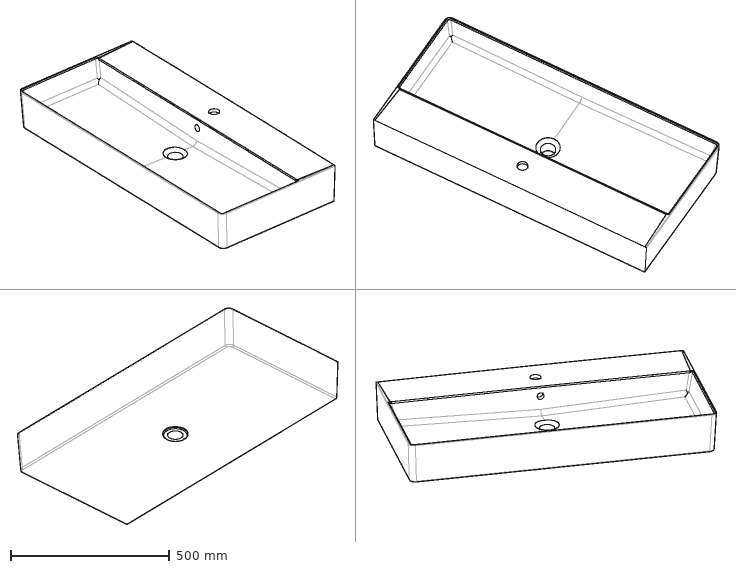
import cadquery as cq
import math

WIDTH = 999.08
DEPTH = 469.4
HEIGHT = 143.58
BOSS_HEIGHT = 6.0
CROWN_RISE = 1.4
RIM_Z = HEIGHT - BOSS_HEIGHT - CROWN_RISE

BACK_NARROWING = 1.1
SIDE_DRAFT = 5.5
FRONT_DRAFT = 9.0
CORNER_RADIUS = 19.0
BOTTOM_RADIUS = 5.0
RIM_OUTER_RADIUS = 1.5
HALF_FRONT = WIDTH / 2 + BACK_NARROWING * CORNER_RADIUS / DEPTH
HALF_BACK = HALF_FRONT - BACK_NARROWING

DECK_DEPTH = 148.0
DECK_FRONT_DROP = 1.5
DECK_BACK_INSET = 6.0
DECK_FRONT_INSET = 13.0
DECK_EDGE_RADIUS = 4.0
DECK_SLAB = 8.0

RIM_WALL = 8.0
RIM_BEVEL = 3.0
BOWL_DEPTH = 79.0
CREASE_FRONT_FALL = 7.0
CREASE_BACK_FALL = 16.0
BOWL_HALF_WIDTH = WIDTH / 2 - RIM_WALL
FLOOR_Z = RIM_Z - BOWL_DEPTH
BOWL_SIDE_LEAN = 15.0
BOWL_FRONT_LEAN = 10.0
BOWL_BACK_LEAN = 4.0
BOWL_CORNER_RADIUS = 8.0
BOWL_FLOOR_RADIUS = 16.0

DRAIN_Y = -240.0
DRAIN_DIAMETER = 48.48
DRAIN_MOUTH_DIAMETER = 77.0
DRAIN_MOUTH_DEPTH = 10.0
BOSS_DIAMETER = 80.0
BOSS_CHAMFER = 3.0
TAP_Y = -80.0
TAP_DIAMETER = 34.5
TAP_DEPTH = 12.0
OVERFLOW_DIAMETER = 22.0
OVERFLOW_DROP = 34.0
OVERFLOW_DEPTH = 20.0


def trapezoid(z, half_front, half_back, y_front, y_back):
    """Corner points, at height z, of a trapezoid symmetric about x = 0."""
    return [
        cq.Vector(-half_front, y_front, z),
        cq.Vector(half_front, y_front, z),
        cq.Vector(half_back, y_back, z),
        cq.Vector(-half_back, y_back, z),
    ]


def tapered_block(lower, upper):
    """Solid with flat sides between two four-cornered outlines."""
    outlines = [lower, upper]
    for i in range(4):
        j = (i + 1) % 4
        outlines.append([lower[i], lower[j], upper[j], upper[i]])
    faces = [cq.Face.makeFromWires(cq.Wire.makePolygon(points, close=True)) for points in outlines]
    return cq.Workplane(cq.Solid.makeSolid(cq.Shell.makeShell(faces)).fix())


def edges_between(solid, z_low, z_high, y_back=1.0):
    """Edges of the solid centred between two heights and in front of y_back."""
    zone = cq.selectors.BoxSelector((-WIDTH, -2 * DEPTH, z_low), (WIDTH, y_back, z_high))
    return solid.edges(zone)


def make_body():
    bottom_depth = DEPTH - FRONT_DRAFT
    half_back_bottom = HALF_BACK - SIDE_DRAFT
    half_front_bottom = half_back_bottom + BACK_NARROWING * bottom_depth / DEPTH
    bottom = trapezoid(0, half_front_bottom, half_back_bottom, -bottom_depth, 0)
    top = trapezoid(RIM_Z, HALF_FRONT, HALF_BACK, -DEPTH, 0)
    body = tapered_block(bottom, top)
    body = edges_between(body, 1, RIM_Z - 1, -DEPTH / 2).fillet(CORNER_RADIUS)
    body = body.faces("<Z").edges("not >Y").fillet(BOTTOM_RADIUS)
    return body.faces(">Z").edges("not >Y").fillet(RIM_OUTER_RADIUS)


def deck_zone(z_low, z_high):
    """Upright block over the plan of the deck."""
    half_back = HALF_BACK - DECK_BACK_INSET
    half_front = HALF_FRONT - DECK_FRONT_INSET
    lower = trapezoid(z_low, half_front, half_back, -DECK_DEPTH, 0)
    upper = trapezoid(z_high, half_front, half_back, -DECK_DEPTH, 0)
    return tapered_block(lower, upper)


def make_deck():
    """Layer with an arched top that tilts down toward the bowl."""
    half_back = WIDTH / 2
    slope = math.degrees(math.atan((CROWN_RISE + DECK_FRONT_DROP) / DECK_DEPTH))
    arch = (
        cq.Workplane("XZ", origin=(0, DECK_DEPTH, 0))
        .moveTo(-half_back, 0)
        .lineTo(-half_back, RIM_Z)
        .threePointArc((0, RIM_Z + CROWN_RISE), (half_back, RIM_Z))
        .lineTo(half_back, 0)
        .close()
        .extrude(3 * DECK_DEPTH)
        .rotate((0, 0, RIM_Z + CROWN_RISE), (1, 0, RIM_Z + CROWN_RISE), slope)
    )
    block = cq.Workplane("XY").box(2 * WIDTH, DECK_DEPTH, 2 * HEIGHT, centered=(True, False, True))
    deck = arch.intersect(block.translate((0, -DECK_DEPTH, 0)))
    deck = deck.faces("<Y").edges(">Z").fillet(DECK_EDGE_RADIUS)
    return deck.intersect(deck_zone(RIM_Z - DECK_SLAB, HEIGHT))


def crease_z(y):
    """Height of the floor's middle crease, which falls evenly from front to deck."""
    fraction = (y + DEPTH) / (DEPTH - DECK_DEPTH)
    return FLOOR_Z - CREASE_FRONT_FALL - fraction * (CREASE_BACK_FALL - CREASE_FRONT_FALL)


def bowl_section(x, z_front, z_back):
    """Side outline at x of the space above the floor."""
    points = [(-DEPTH, z_front), (-DECK_DEPTH, z_back), (-DECK_DEPTH, HEIGHT), (-DEPTH, HEIGHT)]
    return cq.Wire.makePolygon([cq.Vector(x, y, z) for y, z in points], close=True)


def bowl_outline(z):
    """Outline of the leaning bowl walls at height z."""
    reach = (RIM_Z - z) / BOWL_DEPTH
    half_width = BOWL_HALF_WIDTH - BOWL_SIDE_LEAN * reach
    y_front = RIM_WALL - DEPTH + BOWL_FRONT_LEAN * reach
    y_back = -DECK_DEPTH - BOWL_BACK_LEAN * reach
    return trapezoid(z, half_width, half_width, y_front, y_back)


def make_rim_bevel():
    bevel_z = RIM_Z - RIM_BEVEL
    half_width = BOWL_HALF_WIDTH + RIM_BEVEL
    upper = trapezoid(RIM_Z, half_width, half_width, RIM_WALL - RIM_BEVEL - DEPTH, -DECK_DEPTH)
    bevel = tapered_block(bowl_outline(bevel_z), upper)
    return edges_between(bevel, bevel_z + 1, RIM_Z - 1, -DEPTH / 2).fillet(BOWL_CORNER_RADIUS)


def make_bowl():
    deepest_z = FLOOR_Z - CREASE_BACK_FALL
    above_floor = cq.Solid.makeLoft(
        [
            bowl_section(-BOWL_HALF_WIDTH, FLOOR_Z, FLOOR_Z),
            bowl_section(0, crease_z(-DEPTH), crease_z(-DECK_DEPTH)),
            bowl_section(BOWL_HALF_WIDTH, FLOOR_Z, FLOOR_Z),
        ],
        True,
    )
    walls = tapered_block(bowl_outline(deepest_z), bowl_outline(RIM_Z))
    bowl = walls.intersect(cq.Workplane(above_floor))
    floor_edges = edges_between(bowl, deepest_z - 1, FLOOR_Z + 1)
    crease = floor_edges.edges(cq.selectors.BoxSelector((-1, -DEPTH, 0), (1, 0, HEIGHT)))
    floor_rim = [edge for edge in floor_edges.vals() if not edge.isSame(crease.val())]
    bowl = bowl.newObject(floor_rim).fillet(BOWL_FLOOR_RADIUS)
    rounded_walls = edges_between(walls, deepest_z + 1, RIM_Z - 1).fillet(BOWL_CORNER_RADIUS)
    return bowl.intersect(rounded_walls)


def make_drain_boss():
    boss = cq.Workplane("XY", origin=(0, DRAIN_Y, -BOSS_HEIGHT)).circle(BOSS_DIAMETER / 2)
    boss = boss.extrude(BOSS_HEIGHT + BOTTOM_RADIUS)
    return boss.faces("<Z").edges().chamfer(BOSS_CHAMFER)


def make_drain_hole():
    """Straight bore through the boss with a conical mouth at the floor."""
    mouth_z = crease_z(DRAIN_Y)
    bore_radius = DRAIN_DIAMETER / 2
    mouth_radius = DRAIN_MOUTH_DIAMETER / 2
    bore_top = mouth_z - DRAIN_MOUTH_DEPTH
    profile = (
        cq.Workplane("XZ")
        .moveTo(0, -BOSS_HEIGHT)
        .lineTo(bore_radius, -BOSS_HEIGHT)
        .lineTo(bore_radius, bore_top)
        .lineTo(mouth_radius, mouth_z)
        .lineTo(mouth_radius, RIM_Z)
        .lineTo(0, RIM_Z)
        .close()
    )
    return profile.revolve(360, (0, 0, 0), (0, 1, 0)).translate((0, DRAIN_Y, 0))


def make_tap_hole():
    hole = cq.Workplane("XY", origin=(0, TAP_Y, RIM_Z - TAP_DEPTH))
    return hole.circle(TAP_DIAMETER / 2).extrude(2 * TAP_DEPTH)


def make_overflow():
    """Blind round hole running back from the bowl wall under the deck."""
    wall_y = -DECK_DEPTH - BOWL_BACK_LEAN
    hole = cq.Workplane("XZ", origin=(0, wall_y, RIM_Z - OVERFLOW_DROP))
    return hole.circle(OVERFLOW_DIAMETER / 2).extrude(-OVERFLOW_DEPTH)


body = make_body().cut(deck_zone(RIM_Z - DECK_SLAB, HEIGHT)).union(make_deck())
body = body.cut(make_bowl()).cut(make_rim_bevel())
body = body.union(make_drain_boss())
for hole in (make_drain_hole(), make_tap_hole(), make_overflow()):
    body = body.cut(hole)
result = body